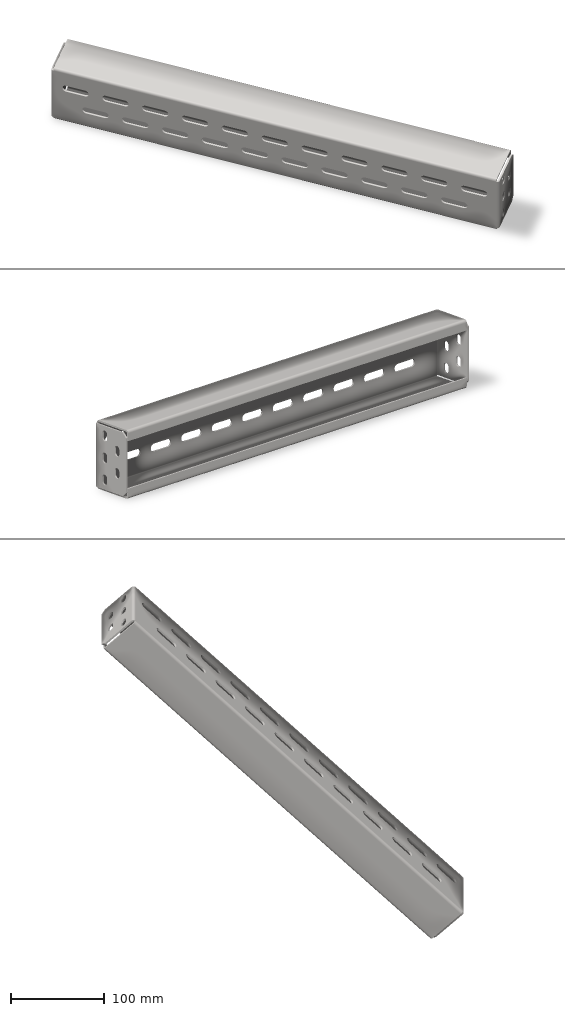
import cadquery as cq

overall_length = 506.0
depth = 48.0
height = 78.0
sheet = 2.0
outer_bend = 3.0
inner_bend = outer_bend - sheet
lip_height = 12.0

body_length = overall_length - 2 * outer_bend
flat_height = height - 2 * outer_bend
front_y = -depth / 2
back_y = depth / 2

slot_length = 30.0
slot_width = 9.0
slot_pitch = 45.0
upper_slot_count = 11
lower_slot_count = upper_slot_count - 1
slot_row_z = 13.0

end_slot_length = 12.0
end_slot_width = 7.0
front_column_y = -9.0
front_column_z = (-25.0, 0.0, 25.0)
back_column_y = 10.0
back_column_z = (-12.5, 12.5)
end_corner_chamfer = 5.0


def rounded_bar(length, bar_depth, bar_height, radius):
    """Bar along X with its four long edges rounded."""
    return cq.Workplane("XY").box(length, bar_depth, bar_height).edges("|X").fillet(radius)


def make_channel():
    """Front wall, top and bottom walls, and the lips turned in along the open back."""
    outside = rounded_bar(body_length, depth, height, outer_bend)
    inside = rounded_bar(body_length, depth - 2 * sheet, height - 2 * sheet, inner_bend)
    back_opening = (
        cq.Workplane("XY")
        .box(body_length, depth / 2, height - 2 * lip_height)
        .translate((0, depth / 4, 0))
    )
    return outside.cut(inside).cut(back_opening)


def make_end_plate():
    """Plate at the +X end, bent back from the front wall."""
    bend_start_x = body_length / 2
    outer_x = overall_length / 2
    strip = (
        cq.Workplane("XY")
        .workplane(offset=-flat_height / 2)
        .moveTo(bend_start_x, front_y)
        .radiusArc((outer_x, front_y + outer_bend), -outer_bend)
        .lineTo(outer_x, back_y)
        .lineTo(outer_x - sheet, back_y)
        .lineTo(outer_x - sheet, front_y + outer_bend)
        .radiusArc((bend_start_x, front_y + sheet), inner_bend)
        .close()
        .extrude(flat_height)
    )
    plate = strip.faces(">Y").edges("|X").chamfer(end_corner_chamfer)
    slot_places = [(front_column_y, z) for z in front_column_z]
    slot_places += [(back_column_y, z) for z in back_column_z]
    slots = (
        cq.Workplane("YZ")
        .workplane(offset=bend_start_x)
        .pushPoints(slot_places)
        .slot2D(end_slot_length, end_slot_width, 90)
        .extrude(2 * outer_bend)
    )
    return plate.cut(slots)


def slot_row(count, z):
    """Evenly pitched slot centres on the front wall, centred on X = 0."""
    first_x = -(count - 1) * slot_pitch / 2
    return [(first_x + i * slot_pitch, z) for i in range(count)]


def make_front_slots():
    """Cutters for both slot rows; each row is centred along the wall."""
    places = slot_row(upper_slot_count, slot_row_z) + slot_row(lower_slot_count, -slot_row_z)
    return (
        cq.Workplane("XZ", origin=(0, front_y + 2 * sheet, 0))
        .pushPoints(places)
        .slot2D(slot_length, slot_width)
        .extrude(4 * sheet)
    )


end_plate = make_end_plate()
result = make_channel().union(end_plate).union(end_plate.mirror("YZ")).cut(make_front_slots())